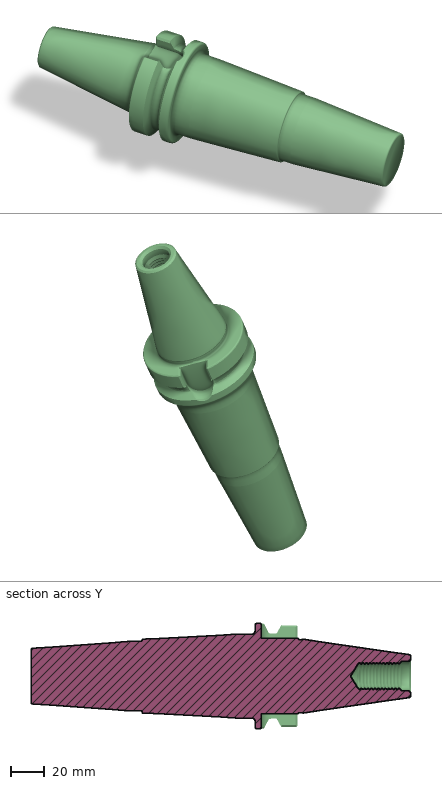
import cadquery as cq
import math


length = 225.5

taper_slope = 7 / 48
taper_end_x = 64.0
taper_end_radius = 22.0
shank_tip_radius = taper_end_radius - taper_slope * taper_end_x
shank_tip_chamfer = 1.0

relief_depth = 0.2
relief_run = 0.7
relief_radius = taper_end_radius - relief_depth
relief_fillet = 1.1

flange_start_x = 67.5
flange_end_x = 92.6
flange_diameter = 62.9
flange_radius = flange_diameter / 2
flange_front_fillet = 1.0
flange_back_fillet = 1.4

groove_start_x = 76.9
groove_end_x = 87.2
groove_radius = 26.4
groove_fillet = 1.0
flank_angle = 30
groove_flank_run = (flange_radius - groove_radius) * math.tan(math.radians(flank_angle))

body_radius = 25.0
body_fillet = 1.8
body_taper_x = 104.0
step_x = 159.0
step_big_radius = 22.0
step_small_radius = 20.7
step_fillet = (step_big_radius - step_small_radius) / 2
nose_taper_x = 167.7
nose_tip_radius = 16.7
nose_tip_fillet = 1.1

key_width = 16.0
key_floor = 22.5
key_end_x = 88.5
key_chamfer = 1.1
key_end_chamfer = 1.0

bore_mouth_radius = 10.0
bore_radius = 8.5
bore_depth = 5.6
thread_major_radius = 8.0
thread_minor_radius = 7.0
thread_pitch = 2.0
thread_turns = 12
drill_tip_half_angle = 59


def point_on_circle(center, radius, angle):
    """Point on a circle at the given angle in degrees."""
    turn = math.radians(angle)
    return (center[0] + radius * math.cos(turn), center[1] + radius * math.sin(turn))


def fillet_arc(profile, center, radius, start_angle, end_angle):
    """Draw a line to the start of an arc about the center, then the arc itself."""
    start, middle, end = (
        point_on_circle(center, radius, angle)
        for angle in (start_angle, (start_angle + end_angle) / 2, end_angle)
    )
    return profile.lineTo(*start).threePointArc(middle, end)


def revolve_about_x(profile):
    """Close the half profile along the X axis and turn it into a solid."""
    return profile.close().revolve(360, (0, 0, 0), (1, 0, 0))


def turned_body():
    p = cq.Workplane("XY").moveTo(0, 0)

    p = p.lineTo(0, shank_tip_radius - shank_tip_chamfer)
    p = p.lineTo(shank_tip_chamfer, shank_tip_radius + taper_slope * shank_tip_chamfer)
    p = p.lineTo(taper_end_x, taper_end_radius)
    p = p.lineTo(taper_end_x + relief_run, relief_radius)
    p = fillet_arc(
        p, (flange_start_x - relief_fillet, relief_radius + relief_fillet), relief_fillet, -90, 0)

    p = fillet_arc(
        p, (flange_start_x + flange_front_fillet, flange_radius - flange_front_fillet),
        flange_front_fillet, 180, 90)
    p = p.lineTo(groove_start_x, flange_radius)
    floor_start_x = groove_start_x + groove_flank_run
    floor_end_x = groove_end_x - groove_flank_run
    tangent_length = groove_fillet * math.tan(math.radians((90 - flank_angle) / 2))
    fillet_center_y = groove_radius + groove_fillet
    p = fillet_arc(
        p, (floor_start_x + tangent_length, fillet_center_y),
        groove_fillet, 180 + flank_angle, 270)
    p = fillet_arc(
        p, (floor_end_x - tangent_length, fillet_center_y),
        groove_fillet, -90, -flank_angle)
    p = p.lineTo(groove_end_x, flange_radius)
    p = fillet_arc(
        p, (flange_end_x - flange_back_fillet, flange_radius - flange_back_fillet),
        flange_back_fillet, 90, 0)

    p = fillet_arc(
        p, (flange_end_x + body_fillet, body_radius + body_fillet), body_fillet, 180, 270)
    p = p.lineTo(body_taper_x, body_radius)
    p = fillet_arc(p, (step_x, step_big_radius - step_fillet), step_fillet, 90, 0)
    step_end_x = step_x + 2 * step_fillet
    inside_center = (step_end_x, step_small_radius + step_fillet)
    p = p.threePointArc(
        point_on_circle(inside_center, step_fillet, 225), (step_end_x, step_small_radius))
    p = p.lineTo(nose_taper_x, step_small_radius)
    p = fillet_arc(
        p, (length - nose_tip_fillet, nose_tip_radius - nose_tip_fillet), nose_tip_fillet, 90, 0)
    p = p.lineTo(length, 0)
    return revolve_about_x(p)


def keyway(side):
    """Round-ended keyway cutter; side is +1 for the +Z keyway and -1 for the -Z one."""
    half = key_width / 2
    wide = half + key_chamfer
    wedge_height = 4.5
    slot = (
        cq.Workplane("XY").workplane(offset=side * key_floor)
        .moveTo(taper_end_x, -wide)
        .lineTo(flange_start_x, -wide)
        .lineTo(flange_start_x + key_chamfer, -half)
        .lineTo(key_end_x - half, -half)
        .threePointArc((key_end_x, 0), (key_end_x - half, half))
        .lineTo(flange_start_x + key_chamfer, half)
        .lineTo(flange_start_x, wide)
        .lineTo(taper_end_x, wide)
        .close()
        .extrude(side * flange_radius)
    )
    rim = math.sqrt(flange_radius**2 - wide**2)
    wedge = (
        cq.Workplane("YZ").workplane(offset=taper_end_x)
        .moveTo(-half, side * (rim - key_chamfer))
        .lineTo(half, side * (rim - key_chamfer))
        .lineTo(half + wedge_height, side * (rim - key_chamfer + wedge_height))
        .lineTo(-half - wedge_height, side * (rim - key_chamfer + wedge_height))
        .close()
        .extrude(groove_start_x - taper_end_x)
    )
    cone_start = flange_radius - key_end_chamfer
    cone = cq.Workplane("XY").add(cq.Solid.makeCone(
        half, half + 2 * key_end_chamfer, 2 * key_end_chamfer,
        pnt=(key_end_x - half, 0, side * cone_start), dir=(0, 0, side)))
    return slot.union(wedge).union(cone)


def pull_stud_bore():
    p = cq.Workplane("XY").moveTo(0, 0).lineTo(0, bore_mouth_radius)
    p = p.lineTo(bore_mouth_radius - bore_radius, bore_radius)
    p = p.lineTo(bore_depth, bore_radius)
    thread_start_x = bore_depth + bore_radius - thread_minor_radius
    p = p.lineTo(thread_start_x, thread_minor_radius)
    for turn in range(thread_turns):
        root_x = thread_start_x + turn * thread_pitch
        p = p.lineTo(root_x + thread_pitch / 2, thread_major_radius)
        p = p.lineTo(root_x + thread_pitch, thread_minor_radius)
    thread_end_x = thread_start_x + thread_turns * thread_pitch
    tip_length = thread_minor_radius / math.tan(math.radians(drill_tip_half_angle))
    p = p.lineTo(thread_end_x + tip_length, 0)
    return revolve_about_x(p)


result = turned_body()
for side in (1, -1):
    result = result.cut(keyway(side))
result = result.cut(pull_stud_bore())